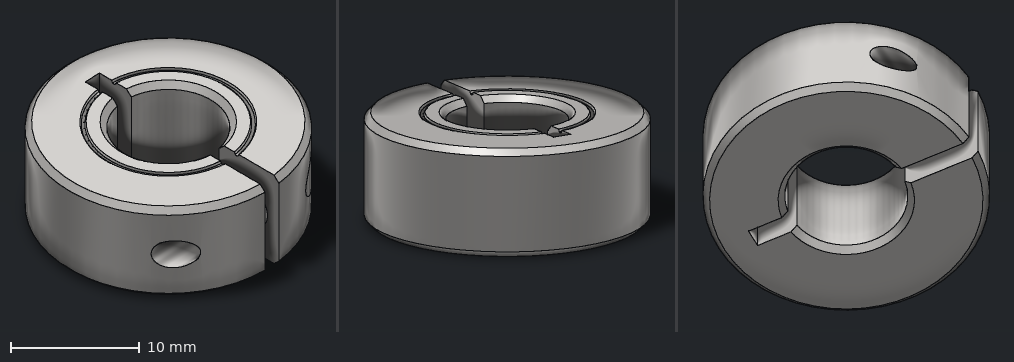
import cadquery as cq

outer_diameter = 22.225
bore_diameter = 9.525
width = 8.71
edge_chamfer = 0.52
bore_chamfer = 0.52

slit_width = 1.56
slit_end_x = -8.12

groove_outer_diameter = 13.7
groove_width = 0.48
groove_depth = 0.25
groove_wall_run = 0.1
groove_wall_depth = 0.19

screw_x = 7.96
thread_hole_diameter = 2.64
clearance_hole_diameter = 3.8
skin_thickness = 0.02

outer_radius = outer_diameter / 2
bore_radius = bore_diameter / 2
top_z = width / 2


def make_disc():
    """Solid disc with both rim edges chamfered."""
    return (
        cq.Workplane("XY", origin=(0, 0, -top_z))
        .circle(outer_radius)
        .extrude(width)
        .faces("<Z or >Z")
        .chamfer(edge_chamfer)
    )


def make_bore():
    """Bore with a flared mouth at each end."""
    mouth_radius = bore_radius + bore_chamfer
    return (
        cq.Workplane("XZ")
        .moveTo(0, -top_z)
        .lineTo(mouth_radius, -top_z)
        .lineTo(bore_radius, bore_chamfer - top_z)
        .lineTo(bore_radius, top_z - bore_chamfer)
        .lineTo(mouth_radius, top_z)
        .lineTo(0, top_z)
        .close()
        .revolve(360, (0, 0), (0, 1))
    )


def make_groove():
    """Round-bottomed ring that cuts the groove in the top face."""
    outer = groove_outer_diameter / 2
    inner = outer - groove_width
    middle = outer - groove_width / 2
    wall_foot_z = top_z - groove_wall_depth
    return (
        cq.Workplane("XZ")
        .moveTo(inner, top_z)
        .lineTo(inner + groove_wall_run, wall_foot_z)
        .threePointArc((middle, top_z - groove_depth), (outer - groove_wall_run, wall_foot_z))
        .lineTo(outer, top_z)
        .close()
        .revolve(360, (0, 0), (0, 1))
    )


def make_slit():
    """Full-width slab from the blind slit end out past the +X rim."""
    length = outer_radius - slit_end_x
    slab = cq.Workplane("XY", origin=(slit_end_x, 0, 0))
    return slab.box(length, slit_width, width, centered=(False, True, True))


def make_screw_hole(diameter, direction):
    """Hole from the slit centre plane out along -Y or +Y (direction -1 or 1)."""
    plane = cq.Plane(origin=(screw_x, 0, 0), xDir=(1, 0, 0), normal=(0, direction, 0))
    return cq.Workplane(plane).circle(diameter / 2).extrude(outer_radius)


def make_clearance_hole():
    """Larger hole, closed by a thin skin that follows the rim."""
    core = cq.Workplane("XY", origin=(0, 0, -top_z)).circle(outer_radius - skin_thickness).extrude(width)
    return make_screw_hole(clearance_hole_diameter, 1).intersect(core)


result = (
    make_disc()
    .cut(make_bore())
    .cut(make_groove())
    .cut(make_slit())
    .cut(make_screw_hole(thread_hole_diameter, -1))
    .cut(make_clearance_hole())
)